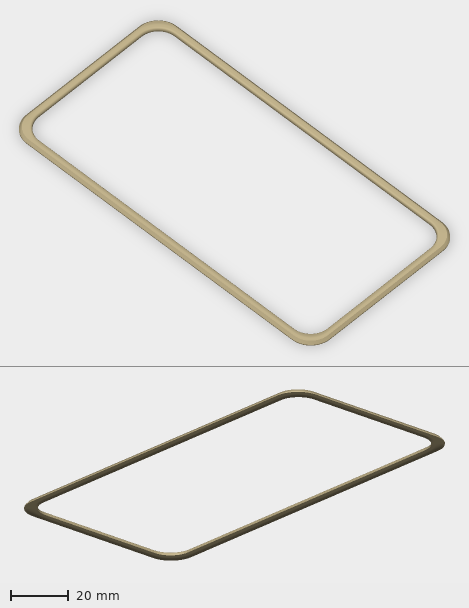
import cadquery as cq

length = 146.6
width = 74.5
thickness = 1.4
rim_width = 3.7

outer_radius = 9.2
opening_radius = 8.0

outer_bevel = 1.0
opening_rounding = 1.0


def rounded_plate(size_x, size_y, corner_radius):
    """Plate resting on the XY plane with rounded vertical corners."""
    plate = cq.Workplane("XY").box(size_x, size_y, thickness, centered=(True, True, False))
    return plate.edges("|Z").fillet(corner_radius)


def bevelled_blank():
    """Outer plate with its whole upper edge bevelled."""
    blank = rounded_plate(length, width, outer_radius)
    return blank.faces(">Z").edges().chamfer(outer_bevel)


def cut_opening(blank):
    """Cut the through opening and round over its upper edge."""
    opening = rounded_plate(length - 2 * rim_width, width - 2 * rim_width, opening_radius)
    frame = blank.cut(opening)
    opening_edge = frame.faces(">Z").wires().vals()[1].Edges()
    return frame.newObject(opening_edge).fillet(opening_rounding)


result = cut_opening(bevelled_blank())